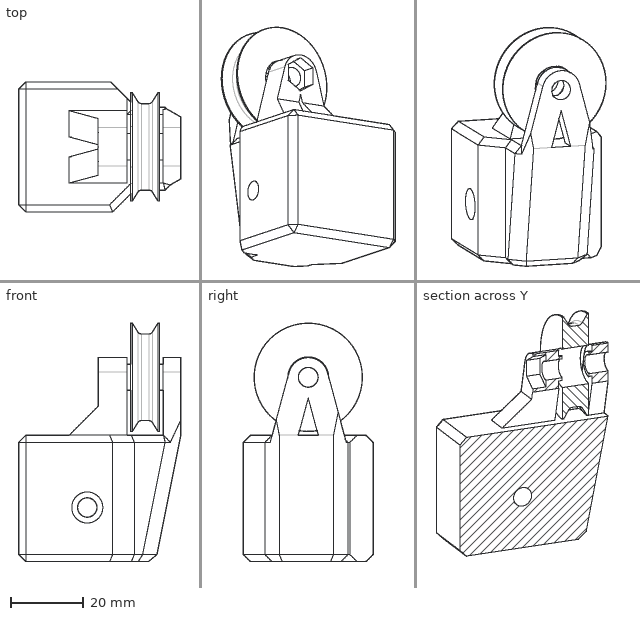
import cadquery as cq
import math

block_height = 35.0
front_half_width = 18.0
edge_chamfer = 2.0
shoulder_start_x = 26.0
shoulder_end_x = 32.0
tail_near_y = -(front_half_width - (shoulder_end_x - shoulder_start_x))
tail_far_y = 11.0
far_shoulder_start_x = 25.5
tail_root_x = 10.0
tail_end_x = 37.9
tail_slope = 0.2
tail_corner = 4.0

cross_hole_x = 19.0
cross_hole_z = 15.0
cross_hole_diameter = 5.3
counterbore_diameter = 8.6
counterbore_depth = 5.0

sheave_x = 35.0
arm_gap = 10.0
front_arm_thickness = 8.0
rear_arm_end_x = tail_end_x + tail_slope * block_height
arm_head_radius = 5.5
arm_base_half_width = 10.0
strut_width = 7.0
ramp_rise = 8.0
nut_across_flats = 8.1
nut_depth = 4.0
axle_hole_diameter = 5.4
spacer_diameter = 7.3

sheave_diameter = 30.0
groove_diameter = 24.0
rim_width = 8.0
lip_width = 0.5
groove_floor_width = 2.0
groove_wall_angle = 58.5
groove_fillet_length = 1.0
sheave_bore = 11.2

axle_z = block_height + 16.0
front_arm_end_x = sheave_x - arm_gap / 2
front_arm_start_x = front_arm_end_x - front_arm_thickness
rear_arm_start_x = sheave_x + arm_gap / 2


def leaning_tail(height):
    """Tail prism carried up to a height, leaning with the end face of the block."""
    outline = cq.Workplane("XY").polyline([
        (tail_root_x, tail_near_y),
        (tail_end_x - tail_corner, tail_near_y),
        (tail_end_x, tail_near_y + tail_corner),
        (tail_end_x, tail_far_y - tail_corner),
        (tail_end_x - tail_corner, tail_far_y),
        (tail_root_x, tail_far_y),
    ]).close()
    lean = cq.Vector(tail_slope * height, 0, height)
    return cq.Workplane(cq.Solid.extrudeLinear(outline.val(), [], lean))


def make_block():
    body = (
        cq.Workplane("XY")
        .polyline([
            (0, -front_half_width),
            (shoulder_start_x, -front_half_width),
            (shoulder_end_x, tail_near_y),
            (shoulder_end_x, front_half_width),
            (0, front_half_width),
        ]).close()
        .extrude(block_height)
    )
    block = body.union(leaning_tail(block_height)).clean()
    edges = block.faces("<Z or >Z").edges()
    edges = edges.add(block.faces("<X").edges("|Z"))
    block = edges.chamfer(edge_chamfer)
    shoulder_length = shoulder_end_x - far_shoulder_start_x
    far_corner = (
        cq.Workplane("XY")
        .polyline([
            (far_shoulder_start_x, front_half_width),
            (shoulder_end_x, front_half_width - shoulder_length),
            (shoulder_end_x, front_half_width),
        ]).close()
        .extrude(block_height)
    )
    return block.cut(far_corner)


axle_rise = axle_z - block_height
foot_distance = math.hypot(arm_base_half_width, axle_rise)
flank_angle = math.atan2(arm_base_half_width, axle_rise) - math.asin(arm_head_radius / foot_distance)
arm_root_z = block_height - edge_chamfer


def flank_half_width(z):
    return arm_base_half_width - (z - block_height) * math.tan(flank_angle)


def arm_blank(start_x, end_x):
    """Round-headed A-frame between two X positions, with the open notch between its struts."""
    tangent_y = arm_head_radius * math.cos(flank_angle)
    tangent_z = axle_z + arm_head_radius * math.sin(flank_angle)
    root_half_width = flank_half_width(arm_root_z)
    plane = cq.Workplane("YZ", origin=(start_x, 0, 0))
    blank = (
        plane.moveTo(-root_half_width, arm_root_z)
        .lineTo(-tangent_y, tangent_z)
        .threePointArc((0, axle_z + arm_head_radius), (tangent_y, tangent_z))
        .lineTo(root_half_width, arm_root_z)
        .close()
        .extrude(end_x - start_x)
    )
    notch_half_width = arm_base_half_width - strut_width / math.cos(flank_angle)
    notch_top_z = block_height + notch_half_width / math.tan(flank_angle)
    notch = (
        plane.polyline([
            (-notch_half_width, block_height),
            (0, notch_top_z),
            (notch_half_width, block_height),
        ]).close()
        .extrude(end_x - start_x)
    )
    return blank.cut(notch)


def make_front_arm():
    ramp_start_x = front_arm_start_x - ramp_rise
    profile = (
        cq.Workplane("XZ", origin=(0, front_half_width, 0))
        .moveTo(ramp_start_x, arm_root_z)
        .lineTo(ramp_start_x, block_height)
        .lineTo(front_arm_start_x, block_height + ramp_rise)
        .lineTo(front_arm_start_x, axle_z + arm_head_radius)
        .lineTo(front_arm_end_x, axle_z + arm_head_radius)
        .lineTo(front_arm_end_x, arm_root_z)
        .close()
        .extrude(2 * front_half_width)
    )
    nut_pocket = (
        cq.Workplane("YZ", origin=(front_arm_start_x, 0, axle_z))
        .transformed(rotate=(0, 0, 90))
        .polygon(6, nut_across_flats / math.cos(math.pi / 6))
        .extrude(nut_depth)
    )
    return arm_blank(ramp_start_x, front_arm_end_x).intersect(profile).cut(nut_pocket)


def make_rear_arm():
    return arm_blank(rear_arm_start_x, rear_arm_end_x).intersect(leaning_tail(axle_z + arm_head_radius))


def make_spacer(start_x):
    spacer_length = (arm_gap - rim_width) / 2
    return (
        cq.Workplane("YZ", origin=(start_x, 0, axle_z))
        .circle(spacer_diameter / 2)
        .extrude(spacer_length)
    )


def make_housing():
    cross_hole = (
        cq.Workplane("XZ", origin=(cross_hole_x, front_half_width, cross_hole_z))
        .circle(cross_hole_diameter / 2)
        .extrude(2 * front_half_width)
    )
    counterbore = (
        cq.Workplane("XZ", origin=(cross_hole_x, counterbore_depth - front_half_width, cross_hole_z))
        .circle(counterbore_diameter / 2)
        .extrude(counterbore_depth)
    )
    axle_hole = (
        cq.Workplane("YZ", origin=(front_arm_start_x, 0, axle_z))
        .circle(axle_hole_diameter / 2)
        .extrude(rear_arm_end_x - front_arm_start_x)
    )
    return (
        make_block()
        .union(make_front_arm())
        .union(make_rear_arm())
        .union(make_spacer(front_arm_end_x))
        .union(make_spacer(sheave_x + rim_width / 2))
        .cut(cross_hole)
        .cut(counterbore)
        .cut(axle_hole)
    )


def make_sheave():
    """V-grooved ring turned about the axle, with a plain bore."""
    rim_radius = sheave_diameter / 2
    floor_radius = groove_diameter / 2
    wall_angle = math.radians(groove_wall_angle)
    half_rim = rim_width / 2
    half_floor = groove_floor_width / 2
    lip_x = half_rim - lip_width
    fillet_radius = groove_fillet_length / math.sin(wall_angle)
    fillet_x = half_floor + groove_fillet_length
    fillet_top = floor_radius + fillet_radius * (1 - math.cos(wall_angle))
    middle_x = half_floor + fillet_radius * math.sin(wall_angle / 2)
    middle_r = floor_radius + fillet_radius * (1 - math.cos(wall_angle / 2))
    return (
        cq.Workplane("XY", origin=(sheave_x, 0, axle_z))
        .moveTo(-half_rim, sheave_bore / 2)
        .lineTo(-half_rim, rim_radius)
        .lineTo(-lip_x, rim_radius)
        .lineTo(-fillet_x, fillet_top)
        .threePointArc((-middle_x, middle_r), (-half_floor, floor_radius))
        .lineTo(half_floor, floor_radius)
        .threePointArc((middle_x, middle_r), (fillet_x, fillet_top))
        .lineTo(lip_x, rim_radius)
        .lineTo(half_rim, rim_radius)
        .lineTo(half_rim, sheave_bore / 2)
        .close()
        .revolve(360, (0, 0, 0), (1, 0, 0))
    )


housing = make_housing()
sheave = make_sheave()

result = cq.Compound.makeCompound([housing.val(), sheave.val()])